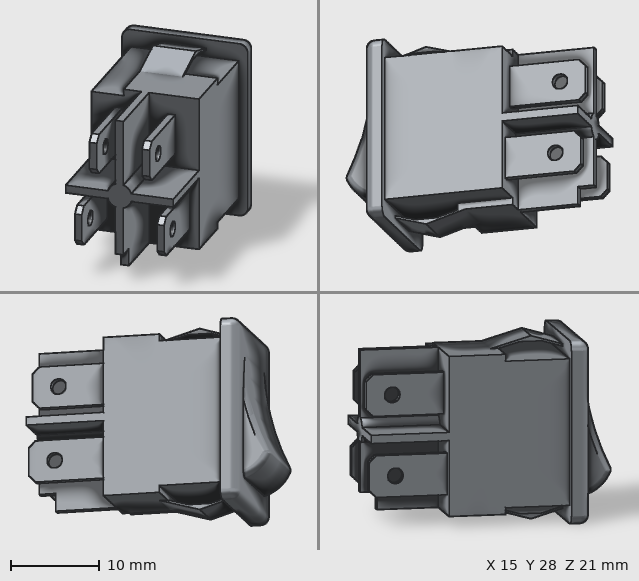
import cadquery as cq


bezel_width = 15.0
bezel_height = 21.0
bezel_thickness = 2.1
bezel_corner_radius = 1.05
bezel_edge_radius = 1.0

housing_width = 12.85
housing_depth = 13.88
low_height = 16.8
high_height = 18.37
high_start = 7.37

clip_width = 5.1
clip_root_height = 9.42
clip_thickness = 0.25
clip_peak = 3.65
clip_end = 8.27
clip_flat_start = 2.38
clip_flat_end = 4.9
clip_flat_height = 9.87

terminal_length = 8.97
rib_thickness = 0.95
hub_radius = 1.5
notch_depth = 1.9
notch_top = -7.12

blade_height = 4.77
blade_chamfer = 0.79
blade_z = 4.5
upper_blade_x = 3.15
lower_blade_x = 4.9
upper_blade_thickness = 0.9
lower_blade_thickness = 0.8
blade_hole_diameter = 1.77
blade_hole_from_end = 3.03

rocker_width = 10.37
rocker_seat = 1.12
rocker_side_radius = 0.79
rocker_tip_radius = 0.42
rocker_bottom = (-0.28, -7.7)
rocker_flank = (2.07, -6.42)
rocker_tip = (3.1, -4.8)
rocker_dish = (1.0, 0.55)
rocker_top = (-0.03, 7.2)

high_left = -clip_width / 2
high_right = housing_width / 2
back_end = -(housing_depth + terminal_length)


def block(x_range, y_range, z_range):
    """Box given by its limits along each axis."""
    size = [high - low for low, high in (x_range, y_range, z_range)]
    corner = cq.Vector(x_range[0], y_range[0], z_range[0])
    return cq.Workplane(cq.Solid.makeBox(*size, pnt=corner))


def side_sketch(x_start):
    """Workplane with local axes Y and Z, extruding toward +X."""
    return cq.Workplane("YZ", origin=(x_start, 0, 0))


def make_bezel():
    return (
        block(
            (-bezel_width / 2, bezel_width / 2),
            (0, bezel_thickness),
            (-bezel_height / 2, bezel_height / 2),
        )
        .edges("|Y")
        .fillet(bezel_corner_radius)
        .faces(">Y")
        .edges()
        .fillet(bezel_edge_radius)
    )


def make_housing():
    low_part = block(
        (-housing_width / 2, housing_width / 2),
        (-housing_depth, 0),
        (-low_height / 2, low_height / 2),
    )
    high_part = block(
        (high_left, high_right),
        (-housing_depth, -high_start),
        (-high_height / 2, high_height / 2),
    )
    return low_part.union(high_part)


def make_top_clip():
    outline = [
        (0, clip_root_height),
        (-clip_peak, bezel_height / 2),
        (-clip_end, high_height / 2),
        (-high_start, high_height / 2),
        (-clip_flat_end, clip_flat_height),
        (-clip_flat_start, clip_flat_height),
        (0, clip_root_height - clip_thickness),
    ]
    return side_sketch(high_left).polyline(outline).close().extrude(clip_width)


def make_cross():
    half_rib = rib_thickness / 2
    along = (back_end, -housing_depth)
    upright = block((-half_rib, half_rib), along, (-high_height / 2, high_height / 2))
    notch = block(
        (-half_rib, half_rib),
        (back_end, back_end + notch_depth),
        (-high_height / 2, notch_top),
    )
    shelf = block((-housing_width / 2, housing_width / 2), along, (-half_rib, half_rib))
    hub = (
        cq.Workplane("XZ", origin=(0, -housing_depth, 0))
        .circle(hub_radius)
        .extrude(terminal_length)
    )
    return upright.cut(notch).union(shelf).union(hub)


def make_blade(x, z, thickness):
    blade = (
        block(
            (x - thickness / 2, x + thickness / 2),
            (back_end, -housing_depth),
            (z - blade_height / 2, z + blade_height / 2),
        )
        .faces("<Y")
        .edges("|X")
        .chamfer(blade_chamfer)
    )
    hole = (
        side_sketch(x - thickness / 2)
        .center(back_end + blade_hole_from_end, z)
        .circle(blade_hole_diameter / 2)
        .extrude(thickness)
    )
    return blade.cut(hole)


def make_rocker():
    outline = (
        cq.Workplane("YZ", origin=(-rocker_width / 2, bezel_thickness, 0))
        .moveTo(-rocker_seat, rocker_bottom[1])
        .lineTo(*rocker_bottom)
        .threePointArc(rocker_flank, rocker_tip)
        .threePointArc(rocker_dish, rocker_top)
        .lineTo(-rocker_seat, rocker_top[1])
        .close()
    )
    rocker = outline.extrude(rocker_width)
    rocker = rocker.edges("|X").edges(">Y").fillet(rocker_tip_radius)
    side_edges = rocker.faces("<X or >X").edges("not(|Y or <Y)")
    return side_edges.fillet(rocker_side_radius)


top_clip = make_top_clip()
switch = (
    make_bezel()
    .union(make_housing())
    .union(top_clip)
    .union(top_clip.mirror("XY"))
    .union(make_cross())
    .union(make_rocker())
)
for side in (-1, 1):
    switch = switch.union(make_blade(side * upper_blade_x, blade_z, upper_blade_thickness))
    switch = switch.union(make_blade(side * lower_blade_x, -blade_z, lower_blade_thickness))

result = switch.solids()